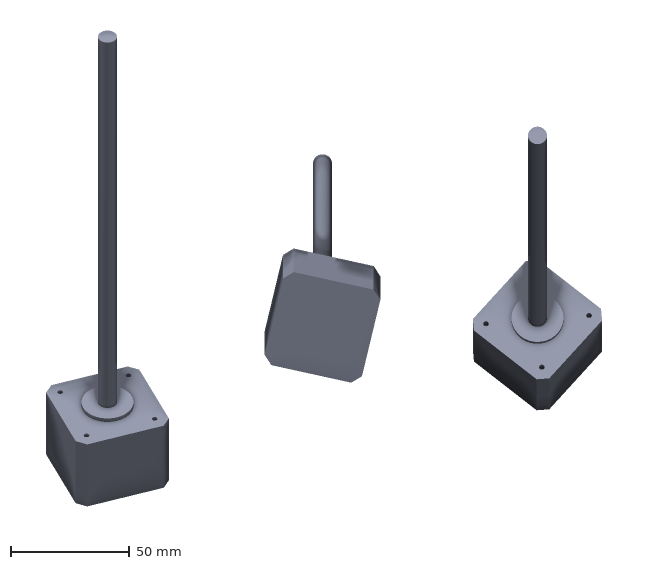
import cadquery as cq

total_height = 236.0
body_width = 42.2
body_height = 34.0
corner_chamfer = 3.8

boss_diameter = 22.0
boss_height = 2.0

shaft_diameter = 8.0
shaft_length = total_height - body_height

hole_spacing = 31.0
hole_diameter = 2.4
hole_depth = 4.5


def make_body():
    """Square motor housing with chamfered vertical corners, standing on Z = 0."""
    block = cq.Workplane("XY").box(body_width, body_width, body_height, centered=(True, True, False))
    return block.edges("|Z").chamfer(corner_chamfer)


def make_cylinder(diameter, height):
    """Cylinder rising from the mounting face along the motor axis."""
    return cq.Workplane("XY").workplane(offset=body_height).circle(diameter / 2).extrude(height)


def make_mounting_holes():
    """Cutters for the four blind holes in the mounting face."""
    face = cq.Workplane("XY").workplane(offset=body_height)
    centers = face.rarray(hole_spacing, hole_spacing, 2, 2)
    return centers.circle(hole_diameter / 2).extrude(-hole_depth)


body = make_body().cut(make_mounting_holes())
boss = make_cylinder(boss_diameter, boss_height)
shaft = make_cylinder(shaft_diameter, shaft_length)

result = body.union(boss).union(shaft)